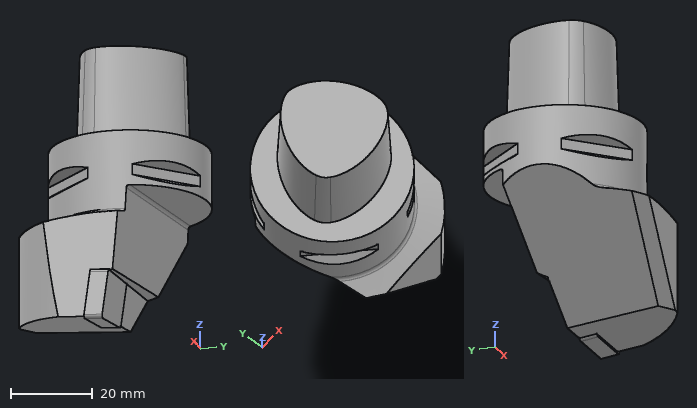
import cadquery as cq
import math

REACH = 200.0

SHANK_LENGTH = 24.0
SHANK_BASE_RADIUS = 13.9
SHANK_TOP_RADIUS = 13.1
LOBE_HEIGHT = 1.1
LOBE_COUNT = 3
LOBE_SPACING = 360 / LOBE_COUNT
FIRST_LOBE_ANGLE = 90
LOBE_SWEEP = 37
CURVE_STEPS = 16

FLANGE_RADIUS = 20.0
FLANGE_LENGTH = 20.0
SHOULDER_ANGLE = math.radians(15)
SHOULDER_FILLET = 1.0
HEAD_RADIUS = 27.5
HEAD_BLANK_BOTTOM = -60.0

GROOVE_Z = -10.05
GROOVE_FLOOR_RADIUS = 17.55
GROOVE_FLOOR_HEIGHT = 2.7
GROOVE_WALL_ANGLE = math.radians(30)
GROOVE_ANGLES = (45, 135, 225, 315)

FRONT_Y = -25.0
SLOPE_ANGLE = math.radians(50)
SLOPE_START_Z = -15.0
SLOPE_CHAMFER = 3.0
CLEARANCE = math.tan(math.radians(5))
SIDE_OFFSET = 21.72
BOTTOM_OFFSET = -47.1

RELIEF_TOP_Z = -14.0
RELIEF_OFFSET = 8.13
RELIEF_SLOPE_X = 0.165
RELIEF_SLOPE_Z = 0.05
RELIEF_FILLET = 0.8

TIP_X = 27.01
TIP_Y = 0.1
TIP_Z = -50.0
NOSE_RADIUS = 0.8
INSERT_CIRCLE = 12.7
INSERT_THICKNESS = 4.76
INSERT_ANGLE = math.radians(80)
INSERT_TILT = math.tan(math.radians(6))

POCKET_LENGTH = 11.8
POCKET_WALL_SLOPE = 0.6


def half_space(point, normal):
    """Block filling everything beyond the plane at point, on the side the normal points to."""
    plane = cq.Plane(origin=point, normal=normal)
    return cq.Workplane(plane).rect(REACH, REACH).extrude(REACH)


def lobed_wire(mean_radius, z):
    """Three-lobed outline of nearly constant width: one lobe toward +Y, three flanks between."""
    def stretch(start, sweep):
        def point(t):
            angle = math.radians(start + sweep * t)
            support = mean_radius - LOBE_HEIGHT * math.sin(LOBE_COUNT * angle)
            slope = -LOBE_COUNT * LOBE_HEIGHT * math.cos(LOBE_COUNT * angle)
            x = support * math.cos(angle) - slope * math.sin(angle)
            y = support * math.sin(angle) + slope * math.cos(angle)
            return cq.Vector(x, y, z)
        return cq.Edge.makeSpline([point(i / CURVE_STEPS) for i in range(CURVE_STEPS + 1)])

    edges = []
    for index in range(LOBE_COUNT):
        lobe_angle = FIRST_LOBE_ANGLE + index * LOBE_SPACING
        edges.append(stretch(lobe_angle - LOBE_SWEEP / 2, LOBE_SWEEP))
        edges.append(stretch(lobe_angle + LOBE_SWEEP / 2, LOBE_SPACING - LOBE_SWEEP))
    return cq.Wire.assembleEdges(edges)


def make_shank():
    base = lobed_wire(SHANK_BASE_RADIUS, 0)
    top = lobed_wire(SHANK_TOP_RADIUS, SHANK_LENGTH)
    return cq.Workplane(cq.Solid.makeLoft([base, top], True))


def make_blank():
    """Flange, root fillet, conical shoulder and round head in one revolved profile."""
    arc_angle = math.pi / 2 - SHOULDER_ANGLE
    centre_x = FLANGE_RADIUS + SHOULDER_FILLET
    centre_z = -FLANGE_LENGTH

    def on_fillet(angle):
        x = centre_x - SHOULDER_FILLET * math.cos(angle)
        z = centre_z - SHOULDER_FILLET * math.sin(angle)
        return (x, z)

    fillet_end = on_fillet(arc_angle)
    rim_z = fillet_end[1] - (HEAD_RADIUS - fillet_end[0]) * math.tan(SHOULDER_ANGLE)
    profile = (
        cq.Workplane("XZ")
        .lineTo(FLANGE_RADIUS, 0)
        .lineTo(FLANGE_RADIUS, -FLANGE_LENGTH)
        .threePointArc(on_fillet(arc_angle / 2), fillet_end)
        .lineTo(HEAD_RADIUS, rim_z)
        .lineTo(HEAD_RADIUS, HEAD_BLANK_BOTTOM)
        .lineTo(0, HEAD_BLANK_BOTTOM)
        .close()
    )
    return profile.revolve(360, (0, 0, 0), (0, 1, 0))


def make_groove(angle):
    """Straight groove with flared walls, cut across the flange at one angle."""
    depth = FLANGE_RADIUS - GROOVE_FLOOR_RADIUS
    floor = GROOVE_FLOOR_HEIGHT / 2
    mouth = floor + depth * math.tan(GROOVE_WALL_ANGLE)
    profile = cq.Workplane("XZ").polyline([
        (GROOVE_FLOOR_RADIUS, GROOVE_Z - floor),
        (FLANGE_RADIUS, GROOVE_Z - mouth),
        (FLANGE_RADIUS, GROOVE_Z + mouth),
        (GROOVE_FLOOR_RADIUS, GROOVE_Z + floor),
    ]).close()
    groove = profile.extrude(FLANGE_RADIUS, both=True)
    return groove.rotate((0, 0, 0), (0, 0, 1), angle)


def trim_head(body):
    """Cut the flat faces that turn the round head into a slanted wedge."""
    slope_normal = cq.Vector(-math.sin(SLOPE_ANGLE), 0, -math.cos(SLOPE_ANGLE))
    front_normal = cq.Vector(0, -1, 0)
    slope_point = (-FLANGE_RADIUS, 0, SLOPE_START_Z)
    chamfer_point = (-FLANGE_RADIUS, FRONT_Y + SLOPE_CHAMFER, SLOPE_START_Z)
    faces = [
        ((0, FRONT_Y, 0), front_normal),
        (slope_point, slope_normal),
        (chamfer_point, slope_normal + front_normal),
        ((SIDE_OFFSET, 0, 0), cq.Vector(1, -CLEARANCE, CLEARANCE)),
        ((0, 0, BOTTOM_OFFSET), cq.Vector(-CLEARANCE, -CLEARANCE, -1)),
    ]
    for point, normal in faces:
        body = body.cut(half_space(point, normal))
    return body


def make_relief():
    """Tilted block removed behind the head, rounded where it meets the flange underside."""
    below = half_space((0, 0, RELIEF_TOP_Z), (0, 0, -1))
    behind = half_space((0, RELIEF_OFFSET, 0), (RELIEF_SLOPE_X, 1, -RELIEF_SLOPE_Z))
    block = behind.intersect(below)
    corner = (0, RELIEF_OFFSET + RELIEF_SLOPE_Z * RELIEF_TOP_Z, RELIEF_TOP_Z)
    return block.edges(cq.NearestToPointSelector(corner)).fillet(RELIEF_FILLET)


def insert_plane():
    """Plane of the insert's top face: x toward the side, y downward, origin at the nose centre."""
    return cq.Plane(
        origin=(TIP_X - NOSE_RADIUS, TIP_Y, TIP_Z + NOSE_RADIUS),
        xDir=(1, -INSERT_TILT, 0),
        normal=(INSERT_TILT, 1, -INSERT_TILT),
    )


def make_insert():
    side = INSERT_CIRCLE / math.sin(INSERT_ANGLE)
    lead = (math.pi / 2 - INSERT_ANGLE) / 2
    corner = NOSE_RADIUS / math.sin(INSERT_ANGLE / 2) * math.sqrt(0.5)
    long_step = side * math.cos(lead)
    short_step = side * math.sin(lead)
    outline = cq.Workplane(insert_plane()).polyline([
        (corner, corner),
        (corner - short_step, corner - long_step),
        (corner - short_step - long_step, corner - long_step - short_step),
        (corner - long_step, corner - short_step),
    ]).close()
    insert = outline.extrude(-INSERT_THICKNESS)
    normal_edges = cq.selectors.ParallelDirSelector(insert_plane().zDir)
    return insert.edges(normal_edges).fillet(NOSE_RADIUS)


def make_pocket():
    """Space above the insert's top face, ending in a sloping wall toward the flange."""
    seat = insert_plane()
    plane = cq.Plane(origin=seat.origin, xDir=seat.yDir, normal=seat.xDir)
    height = HEAD_RADIUS
    profile = cq.Workplane(plane).polyline([
        (-POCKET_LENGTH, 0),
        (-POCKET_LENGTH - POCKET_WALL_SLOPE * height, height),
        (POCKET_LENGTH, height),
        (POCKET_LENGTH, 0),
    ]).close()
    return profile.extrude(REACH, both=True)


insert = make_insert()

holder = trim_head(make_blank())
for groove_angle in GROOVE_ANGLES:
    holder = holder.cut(make_groove(groove_angle))
holder = holder.cut(make_relief())
holder = holder.cut(make_pocket())
holder = holder.cut(insert)
holder = holder.union(make_shank())

result = cq.Compound.makeCompound([holder.solids().val(), insert.solids().val()])